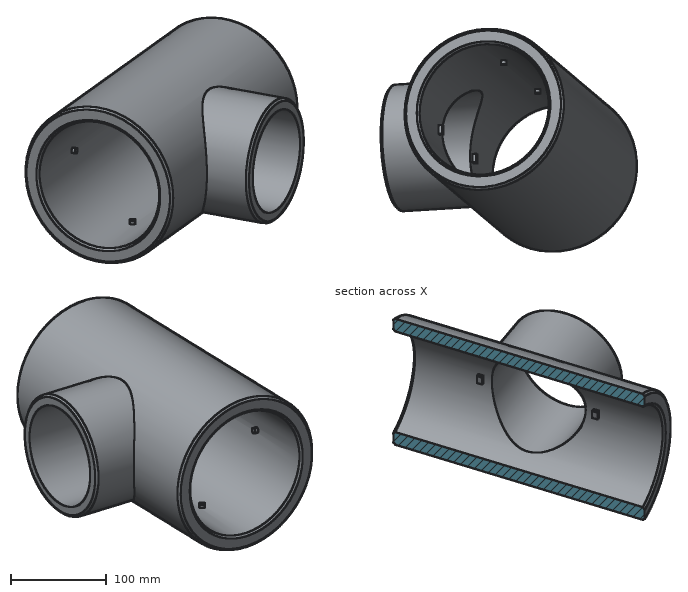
import cadquery as cq

run_outer_diameter = 173.0
run_bore_diameter = 140.0
run_length = 295.0
branch_outer_diameter = 133.0
branch_bore_diameter = 110.0
overall_width = 221.0
rim_chamfer = 2.5
bore_chamfer = 2.5

insertion_depth = 80.0
stop_height = 4.0
stop_root = 5.0
pin_diameter = 6.0
block_width = 9.0

run_bore_radius = run_bore_diameter / 2
branch_reach = overall_width - run_outer_diameter / 2
stop_offset = run_length / 2 - insertion_depth
stop_tip_radius = run_bore_radius - stop_height
stop_length = stop_height + stop_root


def run_cylinder(diameter):
    """Cylinder along Y over the full length of the run."""
    return cq.Workplane("XZ").circle(diameter / 2).extrude(run_length / 2, both=True)


def branch_cylinder(diameter):
    """Cylinder from the run axis to the mouth of the branch."""
    return cq.Workplane("YZ").circle(diameter / 2).extrude(branch_reach)


def make_body():
    """Outer tee, bored along the run and the branch."""
    run = run_cylinder(run_outer_diameter).faces("<Y or >Y").chamfer(rim_chamfer)
    branch = branch_cylinder(branch_outer_diameter).faces(">X").chamfer(rim_chamfer)
    flared_diameter = run_bore_diameter + 2 * bore_chamfer
    body = run.union(branch)
    body = body.cut(run_cylinder(run_bore_diameter))
    body = body.cut(branch_cylinder(branch_bore_diameter))
    for side in (-1, 1):
        mouth = cq.Workplane("XZ", origin=(0, side * run_length / 2, 0))
        flare = (
            mouth.circle(flared_diameter / 2)
            .workplane(offset=side * bore_chamfer)
            .circle(run_bore_radius)
            .loft(ruled=True)
        )
        body = body.cut(flare)
    return body


def stop_pin(direction, y):
    """Round pin that points from the bore wall towards the run axis."""
    axis = cq.Vector(*direction)
    start = axis * stop_tip_radius + cq.Vector(0, y, 0)
    return cq.Workplane(cq.Solid.makeCylinder(pin_diameter / 2, stop_length, start, axis))


def stop_block(y):
    """Rectangular stop on the branch side of the bore wall."""
    middle = (stop_tip_radius + stop_length / 2, y, 0)
    return cq.Workplane("XY", origin=middle).box(stop_length, pin_diameter, block_width)


def add_stops(body):
    """Ring of three pins and one block near each end of the run."""
    pin_directions = [(-1, 0, 0), (0, 0, 1), (0, 0, -1)]
    for y in (-stop_offset, stop_offset):
        for direction in pin_directions:
            body = body.union(stop_pin(direction, y))
        body = body.union(stop_block(y))
    return body


result = add_stops(make_body())